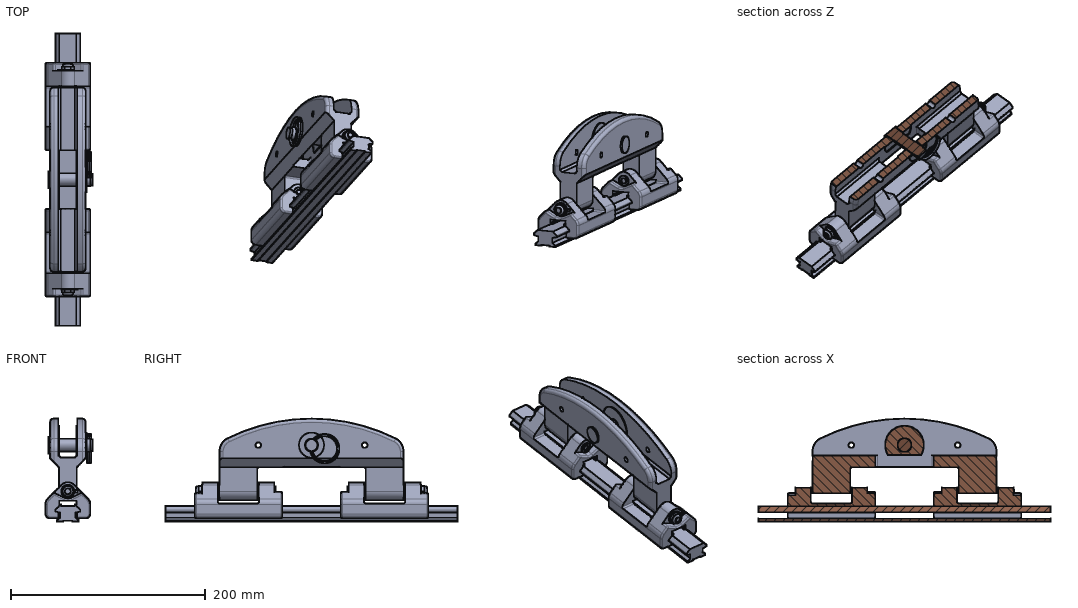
import cadquery as cq
import math


RAIL_LENGTH = 300.0
RAIL_TOP = 16.2
RAIL_TOP_HALF = 8.7
FLANGE_HALF = 13.0
FLANGE_TIP_TOP = 12.3
FLANGE_TIP_BOTTOM = 10.5
FLANGE_UNDERSIDE = 9.3
FLANGE_TIP_RADIUS = 0.5
WEB_HALF = 8.0
WEB_FOOT = 4.2
FOOT_HALF = 11.5
FOOT_EDGE = 1.5
RAIL_GROOVE_HALF = 4.5
RAIL_GROOVE_DEPTH = 1.0

CAR_LENGTH = 90.0
CAR_CENTRE = 75.0
CAR_HALF_WIDTH = 23.0
CAR_BOTTOM = 3.3
CAR_BOTTOM_RADIUS = 4.8
CAR_SHOULDER_RADIUS = 8.0
CAR_END_RADIUS = 1.8
CAR_OPENING_HALF = 9.5
RELIEF_TOP = 21.3
RELIEF_HALF = 8.7
RELIEF_LEDGE_HALF = 7.0
RELIEF_LEDGE_TOP = 17.7

HINGE_Z = 31.2
HINGE_RADIUS = 9.3
SADDLE_LENGTH = 42.0
SADDLE_FLOOR = 19.0
SADDLE_FILLET = 1.5

NOTCH_DEPTH = 8.0
NOTCH_SLOPE = math.radians(26)
OUTER_NOTCH_RADIUS = 7.5
INNER_NOTCH_RADIUS = 5.7
NOTCH_LIP_RADIUS = 2.0

NUT_ACROSS_CORNERS = 13.0
NUT_LENGTH = 4.0
NUT_WASHER_DIAMETER = 13.5
NUT_WASHER_THICKNESS = 1.0
COLLAR_DIAMETER = 10.8
COLLAR_END = 7.0
COLLAR_RADIUS = 2.0
NUT_BORE_DIAMETER = 6.0
NUT_BORE_DEPTH = 1.0
SCREW_HEAD_DIAMETER = 10.8
SCREW_HEAD_LENGTH = 1.2
SOCKET_ACROSS_CORNERS = 6.3
LOCK_PIN_DIAMETER = 3.0
LOCK_PIN_LENGTH = 1.0
LOCK_PIN_X = 8.7
HINGE_WASHER_DIAMETER = 13.0

ARM_LENGTH = 189.0
ARM_TOP = 106.0
ARM_TOP_RADIUS = 193.2
ARM_CORNER_RADIUS = 15.0
ARM_UNDERSIDE = 55.8
CHEEK_OUTER = 18.3
CHEEK_INNER = 9.5
CHEEK_BOTTOM = 65.0
CHEEK_EDGE_RADIUS = 3.5
CLEVIS_FLOOR = 66.0
CLEVIS_CHAMFER = 2.5
LEG_LENGTH = 39.0
LEG_CORNER_RADIUS = 1.5
FLOOR_SLOT_LENGTH = 60.0
FLOOR_SLOT_CORNER = 1.8
SIDE_HOLE_DIAMETER = 5.5
SIDE_HOLE_Y = 54.5

PIN_Z = 78.5
PIN_DIAMETER = 13.5
PIN_END = 25.5
PIN_NOSE_DIAMETER = 12.3
PIN_NOSE_LENGTH = 2.5
PIN_HEAD_DIAMETER = 17.5
PIN_HEAD_THICKNESS = 1.8
BOSS_DIAMETER = 40.0
BOSS_HEIGHT = 1.0
PIN_WASHER_DIAMETER = 25.8
PIN_WASHER_THICKNESS = 1.0
RING_OUTER_DIAMETER = 30.3
RING_WIRE_DIAMETER = 2.5
RING_COIL_PITCH = 2.0
RING_FIRST_COIL_X = 20.7
RING_Y = 13.5
RING_Z = 75.0

SQRT_HALF = math.sqrt(0.5)
SLOPE_SUM = HINGE_Z + HINGE_RADIUS / SQRT_HALF
LEG_HALF_WIDTH = HINGE_RADIUS
SADDLE_GAP = (SADDLE_LENGTH - LEG_LENGTH) / 2
LEG_INNER_END = ARM_LENGTH / 2 - LEG_LENGTH
CAR_END = CAR_LENGTH / 2
NOTCH_WALL = CAR_END - NOTCH_DEPTH


def extrude_along_y(outline, y_start, y_end):
    """Extrude an XZ outline, made on an 'XZ' workplane, from y_start to y_end."""
    return outline.extrude(y_start - y_end).translate((0, y_start, 0))


def cylinder_along_y(diameter, y_start, y_end, x=0.0):
    return extrude_along_y(cq.Workplane("XZ").center(x, HINGE_Z).circle(diameter / 2), y_start, y_end)


def cylinder_along_x(diameter, x_start, x_end, y=0.0):
    disc = cq.Workplane("YZ").center(y, PIN_Z).circle(diameter / 2)
    return disc.extrude(x_end - x_start).translate((x_start, 0, 0))


def box_between(x_range, y_range, z_range):
    size = [high - low for low, high in (x_range, y_range, z_range)]
    corner = (x_range[0], y_range[0], z_range[0])
    return cq.Workplane("XY").box(*size, centered=False).translate(corner)


def symmetric_outline(right_half):
    """Close an XZ outline from its right-hand points, listed from bottom to top."""
    left_half = [(-x, z) for x, z in reversed(right_half)]
    return cq.Workplane("XZ").polyline(right_half + left_half).close()


def make_rail():
    section = symmetric_outline(
        [
            (RAIL_GROOVE_HALF, RAIL_GROOVE_DEPTH),
            (RAIL_GROOVE_HALF, 0),
            (FOOT_HALF, 0),
            (FOOT_HALF, FOOT_EDGE),
            (WEB_HALF, WEB_FOOT),
            (WEB_HALF, FLANGE_UNDERSIDE),
            (FLANGE_HALF, FLANGE_TIP_BOTTOM),
            (FLANGE_HALF, FLANGE_TIP_TOP),
            (RAIL_TOP_HALF, RAIL_TOP),
        ]
    )
    rail = extrude_along_y(section, -RAIL_LENGTH / 2, RAIL_LENGTH / 2)
    return rail.faces("<X or >X").edges("|Y").fillet(FLANGE_TIP_RADIUS)


rail = make_rail()


def make_car_blank():
    """Block with 45 degree flanks that run tangent into a rounded ridge on the hinge axis."""
    shoulder_z = SLOPE_SUM - CAR_HALF_WIDTH
    tangent = HINGE_RADIUS * SQRT_HALF
    section = (
        cq.Workplane("XZ")
        .moveTo(-CAR_HALF_WIDTH, CAR_BOTTOM)
        .lineTo(CAR_HALF_WIDTH, CAR_BOTTOM)
        .lineTo(CAR_HALF_WIDTH, shoulder_z)
        .lineTo(tangent, HINGE_Z + tangent)
        .threePointArc((0, HINGE_Z + HINGE_RADIUS), (-tangent, HINGE_Z + tangent))
        .lineTo(-CAR_HALF_WIDTH, shoulder_z)
        .close()
    )
    blank = extrude_along_y(section, -CAR_END, CAR_END)
    blank = blank.faces("<Z").edges("|Y").fillet(CAR_BOTTOM_RADIUS)
    for side in ("<X", ">X"):
        blank = blank.faces(side).edges("|Y").edges(">Z").fillet(CAR_SHOULDER_RADIUS)
    return blank


def make_notch_cutter(floor_radius, y_start, y_end):
    """Space above a trough floor: an arc round the hinge axis with rising tangents."""
    tangent_x = floor_radius * math.sin(NOTCH_SLOPE)
    tangent_z = HINGE_Z - floor_radius * math.cos(NOTCH_SLOPE)
    rim_x = CAR_HALF_WIDTH
    rim_z = tangent_z + (rim_x - tangent_x) * math.tan(NOTCH_SLOPE)
    above = HINGE_Z + 2 * HINGE_RADIUS
    outline = (
        cq.Workplane("XZ")
        .moveTo(-rim_x, rim_z)
        .lineTo(-tangent_x, tangent_z)
        .threePointArc((0, HINGE_Z - floor_radius), (tangent_x, tangent_z))
        .lineTo(rim_x, rim_z)
        .lineTo(rim_x, above)
        .lineTo(-rim_x, above)
        .close()
    )
    return extrude_along_y(outline, y_start, y_end)


def round_notch_lips(car, floor_radius, y_middle):
    """Round the two edges where a trough floor meets the flanks."""
    lip_z = HINGE_Z - floor_radius / math.cos(NOTCH_SLOPE)
    lip_x = (SLOPE_SUM - lip_z) / (1 + math.tan(NOTCH_SLOPE))
    for side in (-1, 1):
        lip = (side * lip_x, y_middle, SLOPE_SUM - lip_x)
        car = car.edges(cq.selectors.NearestToPointSelector(lip)).fillet(NOTCH_LIP_RADIUS)
    return car


def make_saddle_cutter():
    """Gap across the car that takes a leg of the arm."""
    half = SADDLE_LENGTH / 2
    cutter = box_between(
        (-2 * CAR_HALF_WIDTH, 2 * CAR_HALF_WIDTH),
        (-half, half),
        (SADDLE_FLOOR, SADDLE_FLOOR + 3 * HINGE_RADIUS),
    )
    return cutter.faces("<Z").edges("|X").fillet(SADDLE_FILLET)


def cut_rail_channel(car):
    """Open the car round the rail: free space beside the web and above the rail, a fit elsewhere."""
    y_range = (-CAR_END, CAR_END)
    openings = [
        (CAR_OPENING_HALF, 0, FLANGE_UNDERSIDE),
        (RELIEF_LEDGE_HALF, RAIL_TOP, RELIEF_LEDGE_TOP),
        (RELIEF_HALF, RELIEF_LEDGE_TOP, RELIEF_TOP),
    ]
    for half_width, bottom, top in openings:
        car = car.cut(box_between((-half_width, half_width), y_range, (bottom, top)))
    return car.cut(rail)


def hexagon_along_y(across_corners, y_start, y_end):
    hexagon = cq.Workplane("XZ").center(0, HINGE_Z).polygon(6, across_corners)
    return extrude_along_y(hexagon, y_start, y_end)


def make_lock_nut():
    """Hexagon nut with a washer and a rounded collar, in the outer notch."""
    end = NOTCH_WALL + COLLAR_END
    collar = cylinder_along_y(COLLAR_DIAMETER, NOTCH_WALL, end)
    collar = collar.faces(">Y").edges().fillet(COLLAR_RADIUS)
    washer = cylinder_along_y(NUT_WASHER_DIAMETER, NOTCH_WALL, NOTCH_WALL + NUT_WASHER_THICKNESS)
    hexagon = hexagon_along_y(NUT_ACROSS_CORNERS, NOTCH_WALL, NOTCH_WALL + NUT_LENGTH)
    nut = collar.union(washer).union(hexagon)
    return nut.cut(cylinder_along_y(NUT_BORE_DIAMETER, end - NUT_BORE_DEPTH, end))


def make_screw_head():
    """Low screw head with a hexagon socket, in the inner notch."""
    end = -NOTCH_WALL - SCREW_HEAD_LENGTH
    head = cylinder_along_y(SCREW_HEAD_DIAMETER, end, -NOTCH_WALL)
    return head.cut(hexagon_along_y(SOCKET_ACROSS_CORNERS, end, -NOTCH_WALL))


def make_lock_pin():
    """Short pin beside the nut."""
    end = NOTCH_WALL + LOCK_PIN_LENGTH
    return cylinder_along_y(LOCK_PIN_DIAMETER, NOTCH_WALL, end, x=-LOCK_PIN_X)


def make_car():
    car = make_car_blank().cut(make_saddle_cutter())
    car = car.cut(make_notch_cutter(OUTER_NOTCH_RADIUS, NOTCH_WALL, CAR_END))
    car = car.cut(make_notch_cutter(INNER_NOTCH_RADIUS, -CAR_END, -NOTCH_WALL))
    notch_middle = CAR_END - NOTCH_DEPTH / 2
    car = round_notch_lips(car, OUTER_NOTCH_RADIUS, notch_middle)
    car = round_notch_lips(car, INNER_NOTCH_RADIUS, -notch_middle)
    car = car.faces("<Y or >Y").edges().fillet(CAR_END_RADIUS)
    car = cut_rail_channel(car)
    for part in (make_lock_nut(), make_screw_head(), make_lock_pin()):
        car = car.union(part)
    for y_start in (-SADDLE_LENGTH / 2, LEG_LENGTH / 2):
        car = car.union(cylinder_along_y(HINGE_WASHER_DIAMETER, y_start, y_start + SADDLE_GAP))
    return car


def make_leg_corner_selector():
    """Pick the two inner corners where the legs meet the underside of the arm."""
    reach = (CHEEK_OUTER, LEG_INNER_END + LEG_CORNER_RADIUS, ARM_UNDERSIDE + LEG_CORNER_RADIUS)
    low = (-reach[0], -reach[1], ARM_UNDERSIDE - LEG_CORNER_RADIUS)
    return cq.selectors.BoxSelector(low, reach)


def make_arm_blank():
    """Side shape of the arm: arched rim with rounded corners and edges, and a leg at each end."""
    half = ARM_LENGTH / 2
    arc_centre_z = ARM_TOP - ARM_TOP_RADIUS
    corner_y = half - ARM_CORNER_RADIUS
    centre_distance = ARM_TOP_RADIUS - ARM_CORNER_RADIUS
    corner_z = arc_centre_z + math.sqrt(centre_distance**2 - corner_y**2)
    lean = math.asin(corner_y / centre_distance)
    join_y = ARM_TOP_RADIUS * math.sin(lean)
    join_z = arc_centre_z + ARM_TOP_RADIUS * math.cos(lean)
    middle = (lean + math.pi / 2) / 2
    mid_y = corner_y + ARM_CORNER_RADIUS * math.sin(middle)
    mid_z = corner_z + ARM_CORNER_RADIUS * math.cos(middle)
    leg_bottom = HINGE_Z - HINGE_RADIUS
    side = (
        cq.Workplane("YZ")
        .moveTo(half, leg_bottom)
        .lineTo(half, corner_z)
        .threePointArc((mid_y, mid_z), (join_y, join_z))
        .threePointArc((0, ARM_TOP), (-join_y, join_z))
        .threePointArc((-mid_y, mid_z), (-half, corner_z))
        .lineTo(-half, leg_bottom)
        .lineTo(-LEG_INNER_END, leg_bottom)
        .lineTo(-LEG_INNER_END, ARM_UNDERSIDE)
        .lineTo(LEG_INNER_END, ARM_UNDERSIDE)
        .lineTo(LEG_INNER_END, leg_bottom)
        .close()
        .extrude(CHEEK_OUTER, both=True)
    )
    side = side.edges("|X").edges(make_leg_corner_selector()).fillet(LEG_CORNER_RADIUS)
    rim = side.faces("<X or >X").edges().filter(
        lambda edge: edge.Center().z > corner_z or abs(edge.Center().y) > corner_y
    )
    return rim.fillet(CHEEK_EDGE_RADIUS)


def make_arm_section():
    """End shape of the arm: two cheeks on a narrower stem with a rounded lower end."""
    return (
        cq.Workplane("XZ")
        .moveTo(-LEG_HALF_WIDTH, HINGE_Z)
        .threePointArc((0, HINGE_Z - HINGE_RADIUS), (LEG_HALF_WIDTH, HINGE_Z))
        .lineTo(LEG_HALF_WIDTH, ARM_UNDERSIDE)
        .lineTo(CHEEK_OUTER, CHEEK_BOTTOM)
        .lineTo(CHEEK_OUTER, ARM_TOP)
        .lineTo(CHEEK_INNER, ARM_TOP)
        .lineTo(CHEEK_INNER, CLEVIS_FLOOR + CLEVIS_CHAMFER)
        .lineTo(CHEEK_INNER - CLEVIS_CHAMFER, CLEVIS_FLOOR)
        .lineTo(CLEVIS_CHAMFER - CHEEK_INNER, CLEVIS_FLOOR)
        .lineTo(-CHEEK_INNER, CLEVIS_FLOOR + CLEVIS_CHAMFER)
        .lineTo(-CHEEK_INNER, ARM_TOP)
        .lineTo(-CHEEK_OUTER, ARM_TOP)
        .lineTo(-CHEEK_OUTER, CHEEK_BOTTOM)
        .lineTo(-LEG_HALF_WIDTH, ARM_UNDERSIDE)
        .close()
    )


def make_arm():
    section = extrude_along_y(make_arm_section(), -ARM_LENGTH / 2, ARM_LENGTH / 2)
    arm = make_arm_blank().intersect(section)
    for face_x in (-CHEEK_INNER, CHEEK_INNER - BOSS_HEIGHT):
        arm = arm.union(cylinder_along_x(BOSS_DIAMETER, face_x, face_x + BOSS_HEIGHT))
    half_slot = FLOOR_SLOT_LENGTH / 2
    slot = box_between(
        (-CHEEK_INNER, CHEEK_INNER), (-half_slot, half_slot),
        (ARM_UNDERSIDE, CLEVIS_FLOOR + CLEVIS_CHAMFER),
    )
    arm = arm.cut(slot.edges("|Z").fillet(FLOOR_SLOT_CORNER))
    for y in (-SIDE_HOLE_Y, SIDE_HOLE_Y):
        arm = arm.cut(cylinder_along_x(SIDE_HOLE_DIAMETER, -CHEEK_OUTER, CHEEK_OUTER, y=y))
    return arm.cut(cylinder_along_x(PIN_DIAMETER, -CHEEK_OUTER, CHEEK_OUTER))


def make_carriage():
    carriage = make_arm()
    for turn in (0, 180):
        car = make_car().translate((0, CAR_CENTRE, 0)).rotate((0, 0, 0), (0, 0, 1), turn)
        carriage = carriage.union(car)
    return carriage


def make_ring_coil(x):
    mean_radius = (RING_OUTER_DIAMETER - RING_WIRE_DIAMETER) / 2
    coil = cq.Solid.makeTorus(
        mean_radius, RING_WIRE_DIAMETER / 2, cq.Vector(x, RING_Y, RING_Z), cq.Vector(1, 0, 0)
    )
    return cq.Workplane(coil)


def make_clevis_pin():
    head_start = -CHEEK_OUTER - PIN_HEAD_THICKNESS
    pin = cylinder_along_x(PIN_DIAMETER, -CHEEK_OUTER, PIN_END - PIN_NOSE_LENGTH)
    pin = pin.union(cylinder_along_x(PIN_NOSE_DIAMETER, -CHEEK_OUTER, PIN_END))
    pin = pin.union(cylinder_along_x(PIN_HEAD_DIAMETER, head_start, -CHEEK_OUTER))
    pin = pin.union(
        cylinder_along_x(PIN_WASHER_DIAMETER, CHEEK_OUTER, CHEEK_OUTER + PIN_WASHER_THICKNESS)
    )
    for coil in range(2):
        pin = pin.union(make_ring_coil(RING_FIRST_COIL_X + coil * RING_COIL_PITCH))
    return pin


carriage = make_carriage()
clevis_pin = make_clevis_pin()

result = cq.Compound.makeCompound([rail.val(), carriage.val(), clevis_pin.val()])